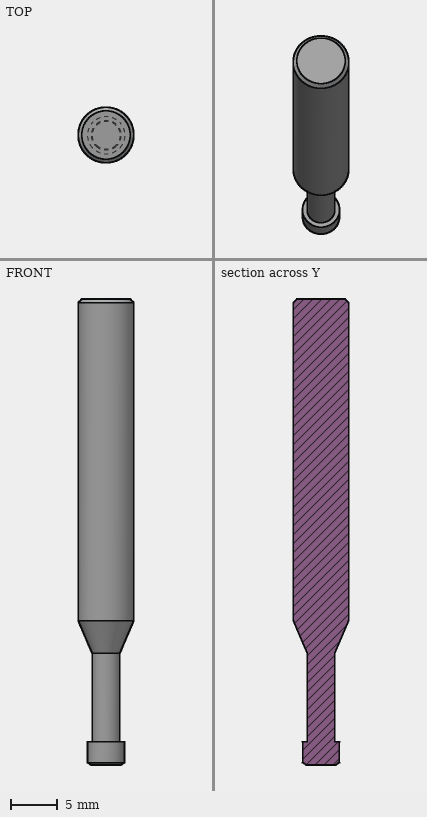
import cadquery as cq

total_length = 50.0
shank_radius = 3.0
shank_chamfer = 0.4
neck_radius = 1.5
head_radius = 2.0
head_height = 2.5
head_chamfer_width = 0.4
head_chamfer_height = 0.25
taper_bottom = 12.0
taper_top = 15.5

half_profile = (
    cq.Workplane("XZ")
    .moveTo(0, 0)
    .lineTo(head_radius - head_chamfer_width, 0)
    .lineTo(head_radius, head_chamfer_height)
    .lineTo(head_radius, head_height)
    .lineTo(neck_radius, head_height)
    .lineTo(neck_radius, taper_bottom)
    .lineTo(shank_radius, taper_top)
    .lineTo(shank_radius, total_length - shank_chamfer)
    .lineTo(shank_radius - shank_chamfer, total_length)
    .lineTo(0, total_length)
    .close()
)

result = half_profile.revolve(360, (0, 0, 0), (0, 1, 0))